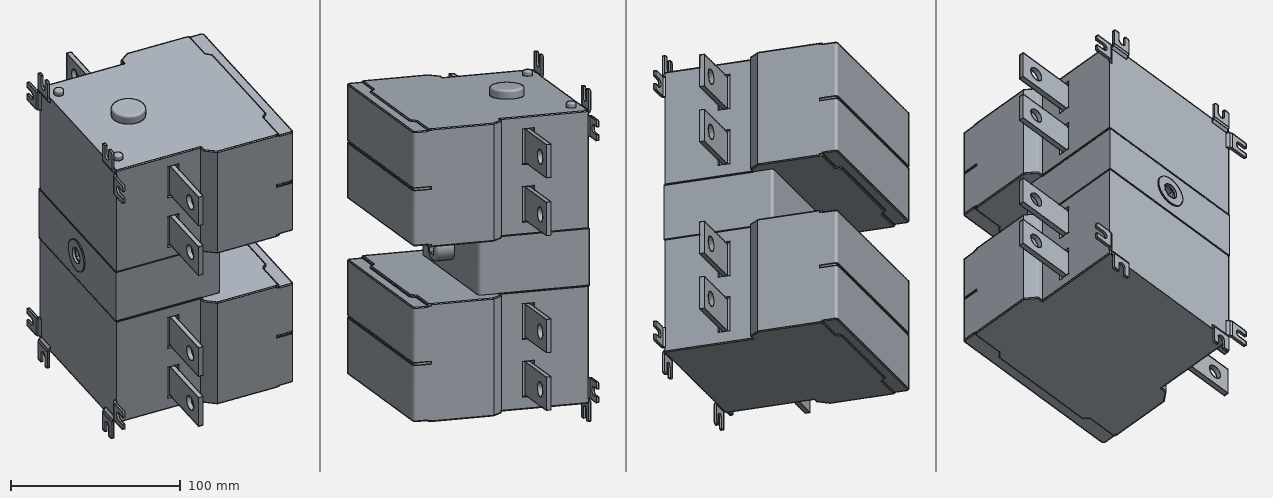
import cadquery as cq


total_height = 202.0
terminal_span = 172.0

body_gap = 34.5
body_height = 72.0
body_half_width = 50.0
wing_half_width = 59.0
wing_inner_half_width = 53.7
wing_front = 55.4
wing_slope_end = 62.0
wing_round = 1.5
body_back = 112.3
body_rim = 0.6
body_middle = (body_gap + body_height) / 2
body_end = body_gap / 2 + body_height

cover_outer_setback = 0.8
cover_inner_setback = 1.5
cover_edge = 103.0
cover_window_edge = 106.3
cover_window_half_width = 35.0
cover_edge_slant = 3.2
cover_seam_front = 101.0
cover_seam_width = 1.6
cover_seam_depth = 0.8
cover_back_round = 1.8

block_front = -0.6
block_back = 68.5
block_edge_round = 1.8
rear_boss_diameter = 15.8
rear_boss_end = 80.2
rear_boss_round = 2.2
collar_diameter = 20.2
collar_height = 0.8
socket_diameter = 9.9
socket_depth = 1.6
shaft_square = 6.7

knob_diameter = 20.5
knob_y = 33.1
knob_height = 5.3
knob_round = 1.5
screw_diameter = 5.9
screw_height = 3.0
screw_edge_round = 1.2
screw_x = 38.5
screw_y = 6.7

terminal_pitch = 35.2
terminal_width = 20.2
terminal_thickness = 3.0
terminal_y = 37.4
terminal_hole = 9.0
terminal_hole_x = 75.0
pocket_height = 21.8
pocket_width = 7.3
pocket_depth = 2.0

tab_front = -2.2
tab_thickness = 1.5
tab_bend_length = 3.0
tab_bend_middle = 0.6
tab_width = 12.3
tab_corner = 1.2
slot_width = 5.0
slot_depth = 8.3
end_tab_x = 42.0
end_slot_x = 41.6
end_tab_foot = 86.0
side_tab_z = 79.8
side_tab_tip = 62.6
side_tab_foot = 47.9


def cylinder_along_z(diameter, height):
    return cq.Workplane("XY").circle(diameter / 2).extrude(height)


def cylinder_along_y(diameter, y_start, y_end):
    plane = cq.Workplane("XZ", origin=(0, y_start, 0))
    return plane.circle(diameter / 2).extrude(y_start - y_end)


def nearest_to(x, y, z):
    return cq.selectors.NearestToPointSelector((x, y, z))


def make_cover_trim(setback):
    """Thin slab, shaped like the cover outline, that sets a cover's end face back."""
    edge_half_width = cover_window_half_width + cover_edge_slant
    return (
        cq.Workplane("XY")
        .moveTo(-wing_half_width, cover_edge)
        .lineTo(-edge_half_width, cover_edge)
        .lineTo(-cover_window_half_width, cover_window_edge)
        .lineTo(cover_window_half_width, cover_window_edge)
        .lineTo(edge_half_width, cover_edge)
        .lineTo(wing_half_width, cover_edge)
        .lineTo(wing_half_width, body_back)
        .lineTo(-wing_half_width, body_back)
        .close()
        .extrude(setback)
    )


def make_cover_seam(height):
    """Shallow groove around the sides and the back, centred on Z = 0."""
    length = body_back - cover_seam_front
    half_width = wing_half_width
    centring = (True, False, True)
    band = cq.Workplane("XY").box(2 * half_width, length, height, centered=centring)
    core_half_width = half_width - cover_seam_depth
    core_length = length - cover_seam_depth
    core = cq.Workplane("XY").box(2 * core_half_width, core_length, height, centered=centring)
    return band.cut(core).translate((0, cover_seam_front, 0))


def make_body():
    """Upper housing, its inner end at Z = 0: narrow at the front, wide behind."""
    body = (
        cq.Workplane("XY")
        .moveTo(-body_half_width, 0)
        .lineTo(body_half_width, 0)
        .lineTo(body_half_width, wing_front)
        .lineTo(wing_inner_half_width, wing_front)
        .lineTo(wing_half_width, wing_slope_end)
        .lineTo(wing_half_width, body_back)
        .lineTo(-wing_half_width, body_back)
        .lineTo(-wing_half_width, wing_slope_end)
        .lineTo(-wing_inner_half_width, wing_front)
        .lineTo(-body_half_width, wing_front)
        .close()
        .extrude(body_height)
        .edges("|Z and >Y")
        .fillet(cover_back_round)
    )
    for x in (-wing_inner_half_width, wing_inner_half_width):
        corner = nearest_to(x, wing_front, body_height / 2)
        body = body.edges(corner).fillet(wing_round)

    cover_top = body_height - cover_outer_setback
    body = body.cut(make_cover_trim(cover_inner_setback))
    body = body.cut(make_cover_trim(cover_outer_setback).translate((0, 0, cover_top)))
    body = body.faces("<Z or >Z").edges("not <Y").chamfer(body_rim)
    for z in (cover_inner_setback, cover_top):
        body = body.edges(nearest_to(0, body_back, z)).chamfer(body_rim)

    for z, height in (
        (0, 2 * cover_inner_setback),
        (body_height / 2, cover_seam_width),
        (body_height, 2 * cover_outer_setback),
    ):
        body = body.cut(make_cover_seam(height).translate((0, 0, z)))
    return body


def make_drive_block():
    """Block joining the bodies, with a rear boss and a thin front collar."""
    block = (
        cq.Workplane("XY")
        .box(
            2 * body_half_width,
            block_back - block_front,
            body_gap,
            centered=(True, False, True),
        )
        .translate((0, block_front, 0))
        .edges("|Z and >Y")
        .fillet(block_edge_round)
    )
    boss = cylinder_along_y(rear_boss_diameter, 0, rear_boss_end)
    boss = boss.faces(">Y").edges().fillet(rear_boss_round)
    collar = cylinder_along_y(collar_diameter, block_front - collar_height, 0)
    return block.union(boss).union(collar)


def make_shaft_opening():
    """Round socket at the front and a square hole right through the drive block."""
    front = block_front - collar_height
    socket = cylinder_along_y(socket_diameter, front, front + socket_depth)
    square = (
        cq.Workplane("XZ", origin=(0, front, 0))
        .rect(shaft_square, shaft_square)
        .extrude(front - rear_boss_end)
    )
    return socket.union(square)


def make_terminal_bar():
    """Drilled bar spanning both sides of a body at Z = 0."""
    bar = cq.Workplane("XY").box(terminal_span, terminal_thickness, terminal_width)
    return (
        bar.faces("<Y")
        .workplane(centerOption="CenterOfBoundBox")
        .pushPoints([(-terminal_hole_x, 0), (terminal_hole_x, 0)])
        .hole(terminal_hole)
    )


def make_terminal_pockets():
    """Shallow pockets in both sides of a body around a terminal bar."""
    solid_width = 2 * (body_half_width - pocket_depth)
    across = cq.Workplane("XY").box(2 * body_half_width, pocket_width, pocket_height)
    return across.cut(cq.Workplane("XY").box(solid_width, pocket_width, pocket_height))


def make_tab(length, slot_offset):
    """Slotted tab rising along Z, its foot at Z = 0 bent back into the body."""
    tab_back = tab_front + tab_thickness
    strip = (
        cq.Workplane("YZ")
        .moveTo(tab_front, length)
        .lineTo(tab_front, tab_bend_length)
        .lineTo(tab_front + tab_bend_middle, tab_bend_length / 2)
        .lineTo(0, 0)
        .lineTo(tab_thickness, 0)
        .lineTo(tab_thickness, tab_thickness)
        .lineTo(tab_back, tab_bend_length)
        .lineTo(tab_back, length)
        .close()
        .extrude(tab_width / 2, both=True)
        .edges("|Y and >Z")
        .fillet(tab_corner)
    )
    slot = (
        cq.Workplane("XZ")
        .center(slot_offset, length)
        .slot2D(2 * slot_depth, slot_width, 90)
        .extrude(-tab_front)
    )
    return strip.cut(slot)


def mirrored_pair(shape, plane):
    return shape.union(shape.mirror(plane))


upper_body = make_body().translate((0, 0, body_gap / 2))
lower_body = upper_body.mirror("XY")
part = make_drive_block().union(upper_body).union(lower_body)
part = part.cut(make_shaft_opening())

for body_z in (-body_middle, body_middle):
    for offset in (-terminal_pitch / 2, terminal_pitch / 2):
        place = (0, terminal_y, body_z + offset)
        part = part.cut(make_terminal_pockets().translate(place))
        part = part.union(make_terminal_bar().translate(place))

knob = cylinder_along_z(knob_diameter, knob_height).faces(">Z").edges().fillet(knob_round)
part = part.union(knob.translate((0, knob_y, body_end)))
for x in (-screw_x, screw_x):
    screw = cylinder_along_z(screw_diameter, screw_height)
    screw = screw.faces(">Z").edges().fillet(screw_edge_round)
    part = part.union(screw.translate((x, screw_y, body_end)))

end_tab = make_tab(total_height / 2 - end_tab_foot, end_slot_x - end_tab_x)
end_tab = end_tab.translate((end_tab_x, 0, end_tab_foot))
side_tab = make_tab(side_tab_tip - side_tab_foot, 0).rotate((0, 0, 0), (0, 1, 0), 90)
side_tab = side_tab.translate((side_tab_foot, 0, side_tab_z))
for tab in (end_tab, side_tab):
    part = part.union(mirrored_pair(mirrored_pair(tab, "YZ"), "XY"))

result = part